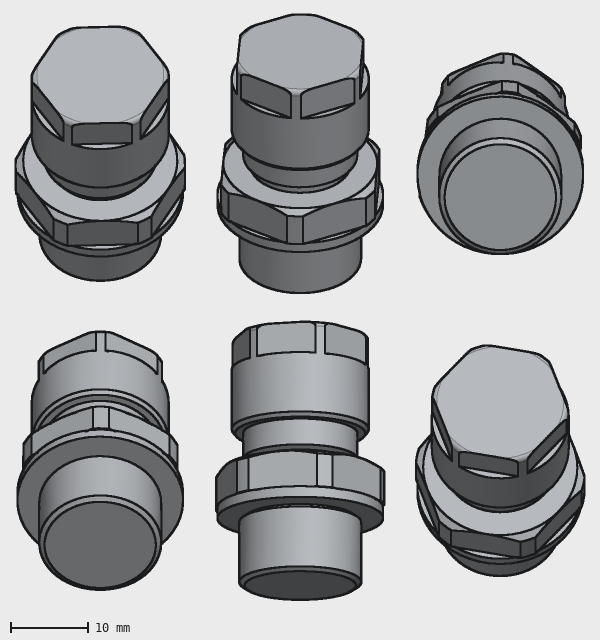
import cadquery as cq

stud_diameter = 15.85
stud_end_diameter = 14.45
stud_chamfer_height = 0.45
stud_neck_diameter = 14.3
stud_neck_chamfer_height = 0.53

collar_diameter = 21.5
collar_bottom = 9.03
collar_top = 10.45

body_flats = 20.0
body_corner_diameter = 21.98
body_top = 15.47
body_chamfer_height = 0.6

neck_diameter = 13.1
neck_top = 16.5
barrel_diameter = 14.85
barrel_chamfer_height = 0.45

cap_diameter = 17.8
cap_bottom = 20.42
cap_chamfer_height = 0.55
cap_chamfer_width = 0.45
cap_flats = 16.0
cap_hex_bottom = 28.95
cap_hex_top = 33.2
cap_rim_radius = 0.65


def cylinder(diameter, bottom, top):
    return cq.Workplane("XY").workplane(offset=bottom).circle(diameter / 2).extrude(top - bottom)


def hex_prism(flats, bottom, top):
    """Hexagonal prism with two of its flats facing -X and +X."""
    return (
        cq.Workplane("XY")
        .workplane(offset=bottom)
        .polygon(6, flats, circumscribed=True)
        .extrude(top - bottom)
    )


def revolve_profile(points):
    """Solid of revolution about Z from (radius, height) points."""
    return cq.Workplane("XZ").polyline(points).close().revolve(360, (0, 0, 0), (0, 1, 0))


def make_stud():
    radius = stud_diameter / 2
    return revolve_profile([
        (0, 0),
        (stud_end_diameter / 2, 0),
        (radius, stud_chamfer_height),
        (radius, collar_bottom - stud_neck_chamfer_height),
        (stud_neck_diameter / 2, collar_bottom),
        (0, collar_bottom),
    ])


def make_body_hex():
    radius = body_corner_diameter / 2
    envelope = revolve_profile([
        (0, collar_top),
        (radius, collar_top),
        (radius, body_top - body_chamfer_height),
        (body_flats / 2, body_top),
        (0, body_top),
    ])
    return hex_prism(body_flats, collar_top, body_top).intersect(envelope)


def make_barrel():
    radius = barrel_diameter / 2
    neck_radius = neck_diameter / 2
    return revolve_profile([
        (0, body_top),
        (neck_radius, body_top),
        (neck_radius, neck_top),
        (radius, neck_top + barrel_chamfer_height),
        (radius, cap_bottom),
        (0, cap_bottom),
    ])


def make_cap():
    sleeve = cylinder(cap_diameter, cap_bottom, cap_hex_bottom)
    sleeve = sleeve.faces("<Z").chamfer(cap_chamfer_height, cap_chamfer_width)
    rounded_top = cylinder(cap_diameter, cap_hex_bottom, cap_hex_top)
    rounded_top = rounded_top.faces(">Z").edges().fillet(cap_rim_radius)
    wrench_hex = hex_prism(cap_flats, cap_hex_bottom, cap_hex_top).intersect(rounded_top)
    return sleeve.union(wrench_hex)


collar = cylinder(collar_diameter, collar_bottom, collar_top)
result = make_stud().union(collar).union(make_body_hex()).union(make_barrel()).union(make_cap())